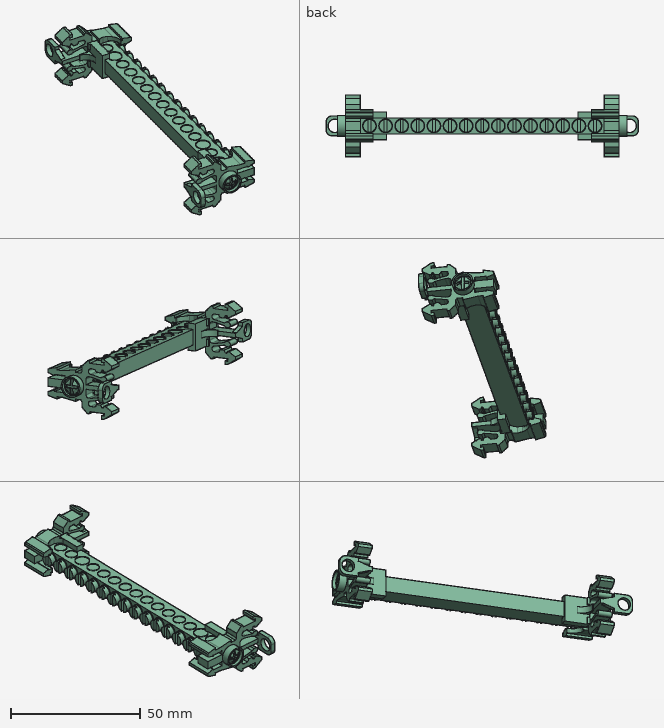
import cadquery as cq

LENGTH = 120.9
DEPTH = 28.2
HEIGHT = 24.0
half_height = HEIGHT / 2

ear_end = -LENGTH / 2
clip_outer = -53.0
clip_inner = -47.1
arm_end = -42.2
socket_end = -37.0

bar_front = 13.2
bar_back = 22.4
bar_half_height = 3.1
terminal_count = 15
terminal_span = 87.3
terminal_pitch = terminal_span / (terminal_count - 1)
wide_terminals = (1, 12)
hole_y = 17.8
hole_radius = 2.4
wide_hole_radius = 5.7 / 2
hole_depth = 0.4
terminal_screw_radius = 5.0 / 2
terminal_screw_top = 24.9
terminal_collar_radius = 2.7
terminal_collar_height = 0.2
terminal_slot_width = 1.1
terminal_slot_depth = 1.5

body_front = 11.4
body_back = 20.7
arm_inside = 3.4
arm_outside = 5.3
ridge = 6.3
leg_inside = 7.5
leg_outside = 9.7
web_half = 0.91
tongue_half = 1.7

relief_x = -42.9
relief_y = 19.1
relief_radius = 4.4

socket_front = 12.1
socket_back = 15.4
socket_half_height = 5.5
gusset_half = 1.3
gusset_front = 7.6
pad_width = 1.0
pad_bottom = 2.7

ear_thickness = 1.9
ear_half_height = 3.9
ear_corner = 2.3
ear_hole_x = -57.0
ear_hole_radius = 2.5
taper_start = 2.4
taper_end = -48.4

head_end = -56.1
head_y = 16.5
head_radius = 4.1
recess_radius = 3.5
recess_depth = 1.5
pyramid_side = 5.8
pyramid_taper = 63
pyramid_radius = 3.1
cross_width = 1.1
cross_height = 6.0
cross_length = 4.7


def block(x0, x1, y0, y1, z0, z1):
    return cq.Workplane("XY").box(x1 - x0, y1 - y0, z1 - z0, centered=False).translate((x0, y0, z0))


def both_sides(solid):
    return solid.union(solid.mirror("XY"))


def clip_profile(x_end):
    """Clip outline in Y and Z: rear arm, shoulder, hooked leg and spring finger."""
    half = (
        cq.Workplane("YZ", origin=(clip_outer, 0, 0))
        .moveTo(body_back, 0)
        .lineTo(body_back, arm_inside)
        .lineTo(25.1, arm_inside)
        .lineTo(25.4, 2.9)
        .lineTo(DEPTH, 3.9)
        .lineTo(DEPTH, 5.1)
        .lineTo(27.7, 5.5)
        .lineTo(24.0, ridge)
        .lineTo(24.0, arm_outside)
        .lineTo(22.0, arm_outside)
        .lineTo(16.0, ridge)
        .lineTo(16.0, arm_outside)
        .lineTo(13.8, arm_outside)
        .lineTo(13.2, 6.0)
        .lineTo(13.2, 8.2)
        .lineTo(10.8, 10.5)
        .lineTo(9.9, 10.5)
        .lineTo(9.7, leg_outside)
        .lineTo(3.4, leg_outside)
        .lineTo(3.4, 10.6)
        .lineTo(4.6, 10.6)
        .lineTo(4.6, half_height)
        .lineTo(3.6, half_height)
        .lineTo(0, leg_outside)
        .lineTo(0, 8.5)
        .lineTo(2.8, 6.8)
        .lineTo(3.5, 6.8)
        .lineTo(3.9, leg_inside)
        .lineTo(4.4, leg_inside)
        .lineTo(5.0, 6.4)
        .lineTo(6.6, 6.4)
        .lineTo(7.5, leg_inside)
        .lineTo(9.4, leg_inside)
        .threePointArc((10.3, 6.4), (9.4, 5.3))
        .lineTo(8.5, 5.2)
        .lineTo(4.8, 4.5)
        .lineTo(3.9, 5.0)
        .lineTo(3.3, 5.0)
        .threePointArc((2.2, 3.9), (3.3, 2.8))
        .lineTo(4.1, 2.8)
        .lineTo(5.1, 3.4)
        .lineTo(9.1, 4.2)
        .lineTo(10.3, 4.2)
        .threePointArc((11.0, 3.9), (body_front, 3.1))
        .lineTo(body_front, 0)
        .close()
        .extrude(x_end - clip_outer)
    )
    return both_sides(half)


def clip():
    body = clip_profile(clip_inner)
    web = block(clip_outer, clip_inner, 0, body_front, -web_half, web_half)
    tongue = block(clip_outer, clip_inner, body_back, DEPTH, -tongue_half, tongue_half)
    return body.union(web).union(tongue)


def rear_arm_extension():
    keep = block(clip_inner, arm_end, socket_back, DEPTH, 0, half_height)
    arm = clip_profile(arm_end).intersect(both_sides(keep))
    relief = (
        cq.Workplane("XY", origin=(relief_x, relief_y, -half_height))
        .circle(relief_radius)
        .extrude(HEIGHT)
    )
    open_side = block(
        relief_x, 0, relief_y - relief_radius, relief_y + relief_radius, -half_height, half_height
    )
    return arm.cut(relief).cut(open_side)


def socket():
    box = block(
        clip_inner, socket_end, socket_front, socket_back, -socket_half_height, socket_half_height
    )
    gusset = block(clip_inner, arm_end, gusset_front, socket_front, -gusset_half, gusset_half)
    hollow = (
        cq.Workplane("XY", origin=(arm_end, gusset_front, -gusset_half))
        .circle(socket_front - gusset_front)
        .extrude(2 * gusset_half)
    )
    pad = block(
        clip_inner, clip_inner + pad_width, body_front, socket_front, pad_bottom, socket_half_height
    )
    return box.union(gusset.cut(hollow)).union(both_sides(pad))


def ear():
    plate = block(ear_end, clip_outer, 0, ear_thickness, -ear_half_height, ear_half_height)
    plate = plate.edges("|Y and <X").fillet(ear_corner)
    taper = (
        cq.Workplane("XZ")
        .polyline([
            (clip_outer, -taper_start),
            (taper_end, -web_half),
            (taper_end, web_half),
            (clip_outer, taper_start),
        ])
        .close()
        .extrude(-ear_thickness)
    )
    hole = (
        cq.Workplane("XZ", origin=(ear_hole_x, 0, 0))
        .circle(ear_hole_radius)
        .extrude(-ear_thickness)
    )
    return plate.union(taper).cut(hole)


def clamping_screw():
    """Round head with a recess that holds a low pyramid split by a cross slot."""
    face = cq.Workplane("YZ", origin=(head_end, head_y, 0))
    floor = cq.Workplane("YZ", origin=(head_end + recess_depth, head_y, 0))
    head = face.circle(head_radius).extrude(clip_outer - head_end)
    recess = face.circle(recess_radius).extrude(recess_depth)
    pyramid = (
        floor.transformed(rotate=(0, 0, 45))
        .rect(pyramid_side, pyramid_side)
        .extrude(-recess_depth, taper=pyramid_taper)
        .intersect(face.circle(pyramid_radius).extrude(recess_depth))
    )
    upright = face.rect(cross_width, cross_height).extrude(recess_depth)
    crossbar = face.rect(cross_length, cross_width).extrude(recess_depth)
    return head.cut(recess).union(pyramid.cut(upright).cut(crossbar))


def terminal_bar():
    bar = block(
        clip_inner, -clip_inner, bar_front, bar_back, -bar_half_height, bar_half_height
    )
    for index in range(terminal_count):
        x = index * terminal_pitch - terminal_span / 2
        radius = wide_hole_radius if index in wide_terminals else hole_radius
        hole = (
            cq.Workplane("XY", origin=(x, hole_y, bar_half_height))
            .circle(radius)
            .extrude(-hole_depth)
        )
        screw = (
            cq.Workplane("XZ", origin=(x, bar_back, 0))
            .circle(terminal_screw_radius)
            .extrude(bar_back - terminal_screw_top)
        )
        collar = (
            cq.Workplane("XZ", origin=(x, bar_back, 0))
            .circle(terminal_collar_radius)
            .extrude(-terminal_collar_height)
        )
        slot = block(
            x - terminal_slot_width / 2,
            x + terminal_slot_width / 2,
            terminal_screw_top - terminal_slot_depth,
            terminal_screw_top,
            -terminal_screw_radius,
            terminal_screw_radius,
        )
        bar = bar.cut(hole).union(screw.cut(slot)).union(collar)
    return bar


bracket = clip().union(rear_arm_extension()).union(socket()).union(ear()).union(clamping_screw())
result = terminal_bar().union(bracket).union(bracket.mirror("YZ"))